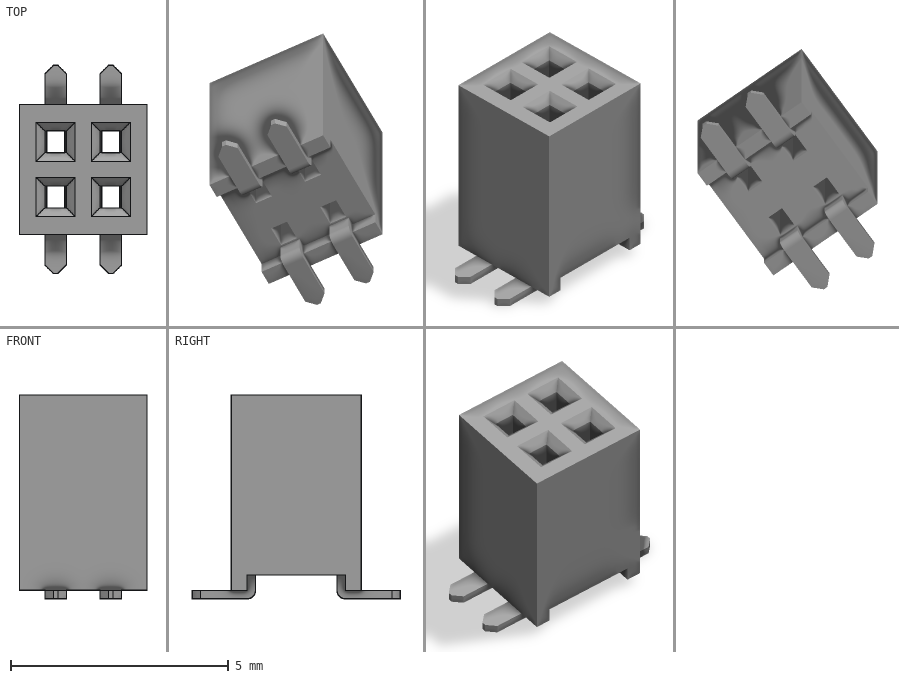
import cadquery as cq

housing_length_x = 2.94
housing_length_y = 3.0
overall_height = 4.7
terminal_span_y = 4.8

pitch = 1.27
row_y = pitch / 2
column_places_x = [-pitch / 2, pitch / 2]
row_sides = [-1, 1]

strip_thickness = 0.2
strip_width = 0.5
sleeve_size = 1.0
tip_chamfer = 0.2
leg_outer_y = row_y + sleeve_size / 2
leg_inner_y = leg_outer_y - strip_thickness
tail_end_y = terminal_span_y / 2

foot_bottom_z = strip_thickness
notch_ceiling_z = 0.55

entry_size = 0.5
lead_in = 0.2
mouth_size = entry_size + 2 * lead_in
funnel_bottom_z = overall_height - lead_in

entry_land = 0.15
sleeve_top_z = funnel_bottom_z - entry_land
grip_gap_x = 0.41
straight_depth = 0.4
taper_depth = 0.25
taper_top_z = sleeve_top_z - straight_depth
grip_top_z = taper_top_z - taper_depth


def make_block(size_x, size_y, bottom_z, top_z):
    """Upright block centred on the Z axis."""
    block = cq.Workplane("XY").workplane(offset=bottom_z)
    return block.rect(size_x, size_y).extrude(top_z - bottom_z)


def make_funnel():
    """Four-sided lead-in that widens up to the top face."""
    funnel = cq.Workplane("XY").workplane(offset=funnel_bottom_z).rect(entry_size, entry_size)
    return funnel.workplane(offset=lead_in).rect(mouth_size, mouth_size).loft(ruled=True)


def make_housing():
    """Block on two feet, with a funnel, an entry hole and a sleeve pocket for each contact."""
    housing = make_block(housing_length_x, housing_length_y, foot_bottom_z, overall_height)
    housing = housing.cut(make_block(housing_length_x, 2 * leg_outer_y, foot_bottom_z, notch_ceiling_z))
    pocket = make_block(sleeve_size, sleeve_size, notch_ceiling_z, sleeve_top_z)
    entry = make_block(entry_size, entry_size, sleeve_top_z, funnel_bottom_z)
    opening = pocket.union(entry).union(make_funnel())
    for x in column_places_x:
        for side in row_sides:
            housing = housing.cut(opening.translate((x, side * row_y, 0)))
    return housing


def make_sleeve():
    """Square sleeve whose passage narrows in X from the entry size to the grip gap."""
    half_entry = entry_size / 2
    half_gap = grip_gap_x / 2
    passage = (
        cq.Workplane("XZ")
        .moveTo(-half_entry, sleeve_top_z)
        .lineTo(-half_entry, taper_top_z)
        .lineTo(-half_gap, grip_top_z)
        .lineTo(-half_gap, notch_ceiling_z)
        .lineTo(half_gap, notch_ceiling_z)
        .lineTo(half_gap, grip_top_z)
        .lineTo(half_entry, taper_top_z)
        .lineTo(half_entry, sleeve_top_z)
        .close()
        .extrude(half_entry, both=True)
    )
    sleeve = make_block(sleeve_size, sleeve_size, notch_ceiling_z, sleeve_top_z)
    return sleeve.cut(passage)


def make_tail():
    """Bent strip: a leg down along the housing foot, then a flat solder tail with a pointed tip."""
    tail = (
        cq.Workplane("YZ")
        .moveTo(leg_inner_y, notch_ceiling_z)
        .lineTo(leg_inner_y, strip_thickness)
        .radiusArc((leg_outer_y, 0), -strip_thickness)
        .lineTo(tail_end_y, 0)
        .lineTo(tail_end_y, strip_thickness)
        .lineTo(leg_outer_y, strip_thickness)
        .lineTo(leg_outer_y, notch_ceiling_z)
        .close()
        .extrude(strip_width / 2, both=True)
    )
    return tail.faces(">Y").edges("|Z").chamfer(tip_chamfer)


def make_terminal(x, side):
    """One contact, its tail pointing outwards from its row."""
    terminal = make_sleeve().translate((0, row_y, 0)).union(make_tail())
    if side < 0:
        terminal = terminal.mirror("XZ")
    return terminal.translate((x, 0, 0))


housing = make_housing()
terminals = [make_terminal(x, side) for x in column_places_x for side in row_sides]

result = cq.Compound.makeCompound([housing.val(), *[terminal.val() for terminal in terminals]])